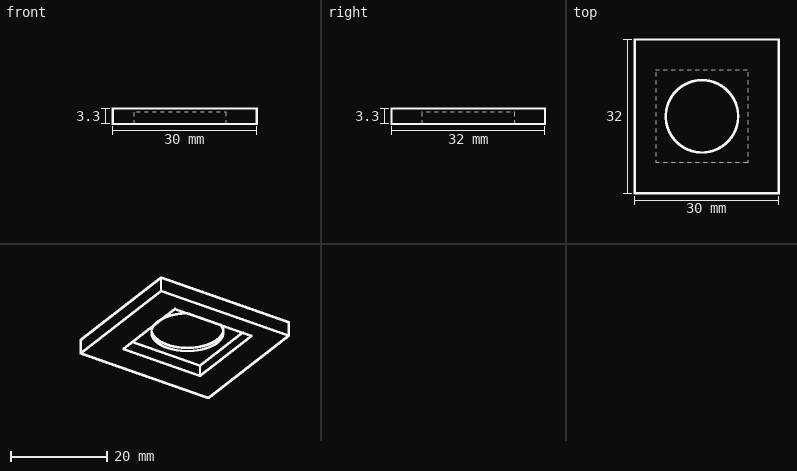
import cadquery as cq

width = 30.0
length = 32.0
thickness = 3.3

hole_diameter = 15.0
hole_from_left_side = 14.0
hole_x = hole_from_left_side - width / 2

pocket_side = 19.2
roof_thickness = 0.8
pocket_depth = thickness - roof_thickness

plate = cq.Workplane("XY").box(width, length, thickness, centered=(True, True, False))
pocket = (
    cq.Workplane("XY")
    .center(hole_x, 0)
    .rect(pocket_side, pocket_side)
    .extrude(pocket_depth)
)
hole = (
    cq.Workplane("XY")
    .center(hole_x, 0)
    .circle(hole_diameter / 2)
    .extrude(thickness)
)

result = plate.cut(pocket).cut(hole)